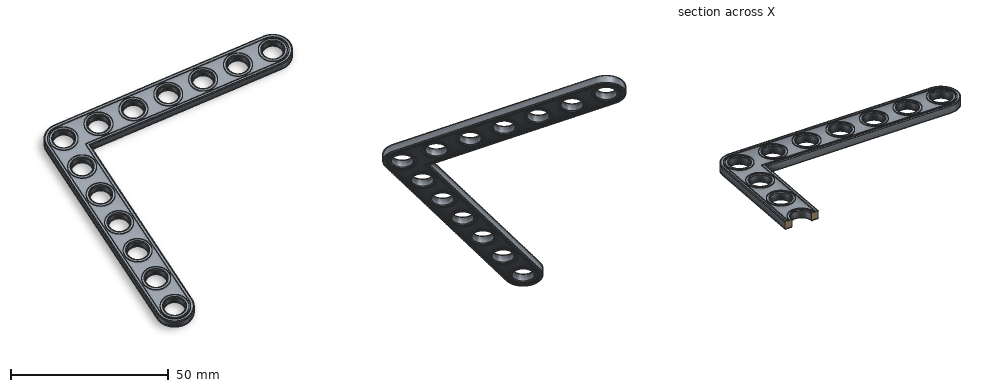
import cadquery as cq

LENGTH = 87.5
HOLES_PER_ARM = 7
THICKNESS = 3.15
HOLE_DIAMETER = 7.0
COLLAR_DIAMETER = 9.2
RIM_WIDTH = 1.1
RECESS_DEPTH = 0.2
EDGE_CHAMFER = 0.31

PITCH = LENGTH / HOLES_PER_ARM
ARM_RADIUS = PITCH / 2
HOLE_SPAN = LENGTH - PITCH
CORNER = -HOLE_SPAN / 2


def hole_centers():
    """Centres along both arms, with the shared corner hole listed once."""
    steps = [CORNER + i * PITCH for i in range(HOLES_PER_ARM)]
    return [(x, CORNER) for x in steps] + [(CORNER, y) for y in steps[1:]]


def discs_at_holes(diameter, height):
    """Cylinders standing on every hole centre."""
    return cq.Workplane("XY").pushPoints(hole_centers()).circle(diameter / 2).extrude(height)


def angle_plate(radius, height):
    """L-shaped plate made of two round-ended arms sharing the corner hole centre."""
    length = HOLE_SPAN + 2 * radius
    arm_x = cq.Workplane("XY").center(0, CORNER).slot2D(length, 2 * radius).extrude(height)
    arm_y = cq.Workplane("XY").center(CORNER, 0).slot2D(length, 2 * radius, 90).extrude(height)
    return arm_x.union(arm_y).clean()


def drilled_plate():
    """Plate with through holes, all rims of both faces chamfered alike."""
    plate = angle_plate(ARM_RADIUS, THICKNESS).cut(discs_at_holes(HOLE_DIAMETER, THICKNESS))
    return plate.faces("|Z").edges().chamfer(EDGE_CHAMFER)


def face_recess():
    """Shallow pocket inside the rim that leaves a collar standing around every hole."""
    pocket = angle_plate(ARM_RADIUS - RIM_WIDTH, RECESS_DEPTH)
    return pocket.cut(discs_at_holes(COLLAR_DIAMETER, RECESS_DEPTH))


result = drilled_plate()
for recess_base in (0, THICKNESS - RECESS_DEPTH):
    result = result.cut(face_recess().translate((0, 0, recess_base)))